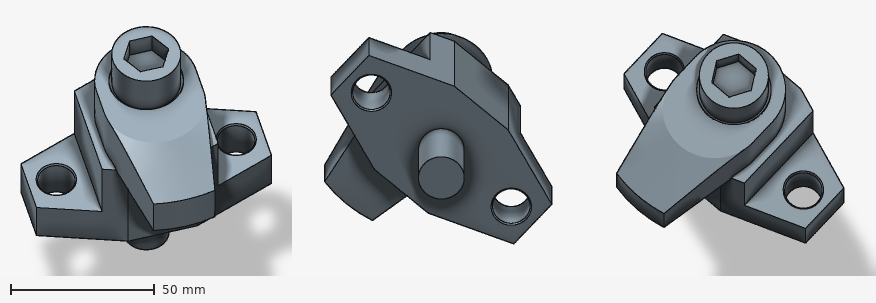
import cadquery as cq
import math


BASE_HALF_WIDTH = 21.0
BASE_HALF_LENGTH = 42.5
BASE_HEIGHT = 40.0
BLOCK_HALF_LENGTH = 21.0
FLANGE_HEIGHT = 16.0
FLANGE_END_HALF_WIDTH = 10.0
STRAIGHT_SIDE_HALF_LENGTH = 12.5
MOUNT_HOLE_OFFSET = 32.5
MOUNT_HOLE_DIAMETER = 13.0
MOUNT_HOLE_CHAMFER = 0.5

SHANK_DIAMETER = 16.0
SHANK_PROTRUSION = 25.0
BOLT_LENGTH = 101
HEAD_DIAMETER = 24.0
HEAD_HEIGHT = 16.0
SOCKET_FLATS = 14.0
SOCKET_DEPTH = 8.0

HUB_RADIUS = 18.0
HUB_STRETCH = 10.0
ARM_THICKNESS = 20.0
ARM_REACH = 50.0
TAPER_ANGLE = math.radians(10.5)
TOP_SLOPE = math.radians(15)
COLLAR_DIAMETER = 32.0
COLLAR_HEIGHT = 1.0
FOOT_START = 20.0
SEAT_DIAMETER = 26.0

ARM_BOTTOM = BASE_HEIGHT + COLLAR_HEIGHT
ARM_TOP = ARM_BOTTOM + ARM_THICKNESS
BOLT_BOTTOM = -SHANK_PROTRUSION
BOLT_TOP = BOLT_BOTTOM + BOLT_LENGTH
HEAD_BOTTOM = BOLT_TOP - HEAD_HEIGHT


def cylinder(diameter, bottom, top):
    return cq.Workplane("XY").workplane(offset=bottom).circle(diameter / 2).extrude(top - bottom)


def make_base():
    """Eight-sided base with a raised middle block and a drilled flange at each end."""
    quarter = [
        (BASE_HALF_WIDTH, STRAIGHT_SIDE_HALF_LENGTH),
        (FLANGE_END_HALF_WIDTH, BASE_HALF_LENGTH),
    ]
    right_side = [(x, -y) for x, y in reversed(quarter)] + quarter
    left_side = [(-x, -y) for x, y in right_side]
    outline = right_side + left_side
    flanges = cq.Workplane("XY").polyline(outline).close().extrude(FLANGE_HEIGHT)
    block = cq.Workplane("XY").polyline(outline).close().extrude(BASE_HEIGHT)
    block_limits = cq.Workplane("XY").rect(2 * BASE_HALF_WIDTH, 2 * BLOCK_HALF_LENGTH).extrude(BASE_HEIGHT)
    base = flanges.union(block.intersect(block_limits))

    hole = cylinder(MOUNT_HOLE_DIAMETER, 0, FLANGE_HEIGHT)
    rim_radius = MOUNT_HOLE_DIAMETER / 2 + MOUNT_HOLE_CHAMFER
    rim = cq.Workplane(
        cq.Solid.makeCone(rim_radius, rim_radius - MOUNT_HOLE_CHAMFER, MOUNT_HOLE_CHAMFER)
    )
    upper_rim = rim.mirror("XY").translate((0, 0, FLANGE_HEIGHT))
    hole = hole.union(rim).union(upper_rim)
    for side in (-1, 1):
        base = base.cut(hole.translate((0, side * MOUNT_HOLE_OFFSET, 0)))

    return base.cut(cylinder(SHANK_DIAMETER, 0, BASE_HEIGHT))


def make_arm_blank():
    """Full-height arm: a stretched round hub running into a tapered nose."""
    taper_x = HUB_STRETCH + HUB_RADIUS * math.sin(TAPER_ANGLE)
    taper_y = HUB_RADIUS * math.cos(TAPER_ANGLE)
    mid_x = HUB_STRETCH + HUB_RADIUS * math.sin(TAPER_ANGLE / 2)
    mid_y = HUB_RADIUS * math.cos(TAPER_ANGLE / 2)

    axis_to_edge = HUB_RADIUS + HUB_STRETCH * math.sin(TAPER_ANGLE)
    tip_angle = math.asin(axis_to_edge / ARM_REACH) - TAPER_ANGLE
    tip_x = ARM_REACH * math.cos(tip_angle)
    tip_y = ARM_REACH * math.sin(tip_angle)

    return (
        cq.Workplane("XY").workplane(offset=BASE_HEIGHT)
        .moveTo(0, HUB_RADIUS)
        .threePointArc((-HUB_RADIUS, 0), (0, -HUB_RADIUS))
        .lineTo(HUB_STRETCH, -HUB_RADIUS)
        .threePointArc((mid_x, -mid_y), (taper_x, -taper_y))
        .lineTo(tip_x, -tip_y)
        .threePointArc((ARM_REACH, 0), (tip_x, tip_y))
        .lineTo(taper_x, taper_y)
        .threePointArc((mid_x, mid_y), (HUB_STRETCH, HUB_RADIUS))
        .close()
        .extrude(ARM_TOP - BASE_HEIGHT)
    )


def make_top_slope():
    """Cutter that leaves a conical fall around the outer hub arc."""
    drop = (ARM_REACH - HUB_RADIUS) * math.tan(TOP_SLOPE)
    return (
        cq.Workplane("XZ")
        .polyline([
            (HUB_RADIUS, ARM_TOP),
            (ARM_REACH, ARM_TOP),
            (ARM_REACH, ARM_TOP - drop),
        ])
        .close()
        .revolve(360, (0, 0), (0, 1))
        .translate((HUB_STRETCH, 0, 0))
        .intersect(
            cq.Workplane("XY").workplane(offset=BASE_HEIGHT)
            .center(HUB_STRETCH + ARM_REACH / 2, 0)
            .rect(ARM_REACH, 2 * ARM_REACH)
            .extrude(ARM_TOP - BASE_HEIGHT)
        )
    )


def make_underside_relief():
    """Cutter below the hub, ending in a 45 degree step at the foot."""
    return (
        cq.Workplane("XZ")
        .polyline([
            (-ARM_REACH, BASE_HEIGHT),
            (FOOT_START, BASE_HEIGHT),
            (FOOT_START - COLLAR_HEIGHT, ARM_BOTTOM),
            (-ARM_REACH, ARM_BOTTOM),
        ])
        .close()
        .extrude(ARM_REACH, both=True)
    )


def make_arm():
    """Clamp arm with sloping nose, support collar and a counterbored bolt hole."""
    arm = make_arm_blank().cut(make_top_slope()).cut(make_underside_relief())
    arm = arm.union(cylinder(COLLAR_DIAMETER, BASE_HEIGHT, ARM_BOTTOM))
    arm = arm.cut(cylinder(SHANK_DIAMETER, BASE_HEIGHT, ARM_TOP))
    return arm.cut(cylinder(SEAT_DIAMETER, HEAD_BOTTOM, ARM_TOP))


def make_bolt():
    """Socket-head bolt; two corners of the hexagon point along Y."""
    bolt = cylinder(SHANK_DIAMETER, BOLT_BOTTOM, HEAD_BOTTOM)
    bolt = bolt.union(cylinder(HEAD_DIAMETER, HEAD_BOTTOM, BOLT_TOP))
    corner_diameter = SOCKET_FLATS / math.cos(math.pi / 6)
    socket = (
        cq.Workplane("XY").polygon(6, corner_diameter).extrude(SOCKET_DEPTH)
        .rotate((0, 0, 0), (0, 0, 1), 30)
        .translate((0, 0, BOLT_TOP - SOCKET_DEPTH))
    )
    return bolt.cut(socket)


base = make_base()
arm = make_arm()
bolt = make_bolt()

result = cq.Compound.makeCompound([base.val(), arm.val(), bolt.val()])